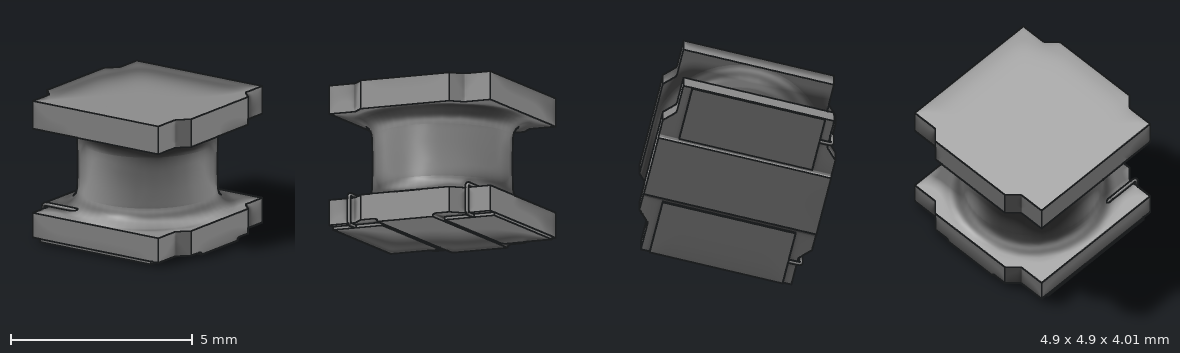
import cadquery as cq
import math

width = 4.9
height = 4.01
flange_thickness = 0.8
half_width = width / 2
lower_flange_top = flange_thickness
upper_flange_bottom = height - flange_thickness

notch_depth = 0.315
notch_start = 1.345
notch_round = 0.1

waist_radius = 1.93
barrel_arc_radius = 14.7
barrel_fillet = 0.5

terminal_thickness = 0.09
ridge_half_width = 0.845

terminal_length = 3.775
terminal_inner_y = 0.95
wire_diameter = 0.1
wire_bend_radius = 0.1
wire_offset_x = 2.245
wire_offset_y = 1.795
wire_height = 0.89
wire_tip_x = 0.88


def make_flange(bottom, top):
    """Square plate with a diagonal notch at each corner."""
    inner_x = half_width - notch_depth
    notch_end = notch_start + notch_depth
    quarter = [(half_width, notch_start), (inner_x, notch_end), (inner_x, half_width)]
    left = [(-x, y) for x, y in reversed(quarter)]
    outline = quarter + left + [(-x, -y) for x, y in quarter + left]
    plate = cq.Workplane("XY").workplane(offset=bottom).polyline(outline).close().extrude(top - bottom)
    middle = (bottom + top) / 2
    for side_x in (-1, 1):
        for side_y in (-1, 1):
            root = cq.selectors.NearestToPointSelector((side_x * inner_x, side_y * notch_end, middle))
            plate = plate.edges("|Z").edges(root).fillet(notch_round)
    return plate


def make_barrel():
    """Revolved barrel: a shallow concave arc that runs tangent into a fillet at each flange."""
    mid_z = (lower_flange_top + upper_flange_bottom) / 2
    half_gap = mid_z - lower_flange_top
    centre_drop = half_gap - barrel_fillet
    centre_distance = barrel_arc_radius - barrel_fillet
    tilt = math.asin(centre_drop / centre_distance)
    fillet_x = waist_radius + barrel_arc_radius - centre_distance * math.cos(tilt)

    def fillet_point(angle):
        """Radius and depth below mid-height of a fillet point; angle is measured below horizontal."""
        return (
            fillet_x - barrel_fillet * math.cos(angle),
            centre_drop + barrel_fillet * math.sin(angle),
        )

    tangent_x, tangent_drop = fillet_point(tilt)
    bulge_x, bulge_drop = fillet_point((tilt + math.pi / 2) / 2)
    profile = (
        cq.Workplane("XZ")
        .moveTo(0, lower_flange_top)
        .lineTo(fillet_x, lower_flange_top)
        .threePointArc((bulge_x, mid_z - bulge_drop), (tangent_x, mid_z - tangent_drop))
        .threePointArc((waist_radius, mid_z), (tangent_x, mid_z + tangent_drop))
        .threePointArc((bulge_x, mid_z + bulge_drop), (fillet_x, upper_flange_bottom))
        .lineTo(0, upper_flange_bottom)
        .close()
    )
    return profile.revolve(360, (0, 0, 0), (0, 1, 0))


def make_ridge():
    """Ridge across the underside, along X, with concave quarter-round sides."""
    arc_radius = terminal_thickness
    root_half_width = ridge_half_width + arc_radius
    profile = (
        cq.Workplane("YZ")
        .moveTo(-ridge_half_width, 0)
        .lineTo(ridge_half_width, 0)
        .radiusArc((root_half_width, terminal_thickness), arc_radius)
        .lineTo(-root_half_width, terminal_thickness)
        .radiusArc((-ridge_half_width, 0), arc_radius)
        .close()
    )
    return profile.extrude(half_width, both=True)


def make_core():
    lower_flange = make_flange(terminal_thickness, lower_flange_top)
    upper_flange = make_flange(upper_flange_bottom, height)
    return lower_flange.union(make_ridge()).union(make_barrel()).union(upper_flange)


def make_wire(y):
    """Round wire that wraps the -X edge of the lower flange, from the terminal up to the barrel."""
    bottom_z = wire_diameter / 2
    bend_end_x = -wire_offset_x + wire_bend_radius
    bend_inset = wire_bend_radius * (1 - math.sqrt(0.5))
    path = (
        cq.Workplane("XZ", origin=(0, y, 0))
        .moveTo(-terminal_length / 2, bottom_z)
        .lineTo(bend_end_x, bottom_z)
        .threePointArc(
            (-wire_offset_x + bend_inset, bottom_z + bend_inset),
            (-wire_offset_x, bottom_z + wire_bend_radius),
        )
        .lineTo(-wire_offset_x, wire_height - wire_bend_radius)
        .threePointArc(
            (-wire_offset_x + bend_inset, wire_height - bend_inset),
            (bend_end_x, wire_height),
        )
        .lineTo(-wire_tip_x, wire_height)
    )
    section = cq.Workplane("YZ", origin=(-terminal_length / 2, y, bottom_z)).circle(wire_diameter / 2)
    return section.sweep(path)


def make_terminal(side, core):
    """Flat terminal with its lead wire; the wire is trimmed where it meets the core."""
    terminal_width = half_width - terminal_inner_y
    plate = cq.Workplane("XY").box(terminal_length, terminal_width, terminal_thickness)
    plate = plate.translate((0, side * (terminal_inner_y + half_width) / 2, terminal_thickness / 2))
    wire = make_wire(side * wire_offset_y).cut(core)
    return plate.union(wire)


core = make_core()
terminals = [make_terminal(side, core) for side in (-1, 1)]

result = cq.Compound.makeCompound(
    [core.solids().val(), *[terminal.solids().val() for terminal in terminals]]
)